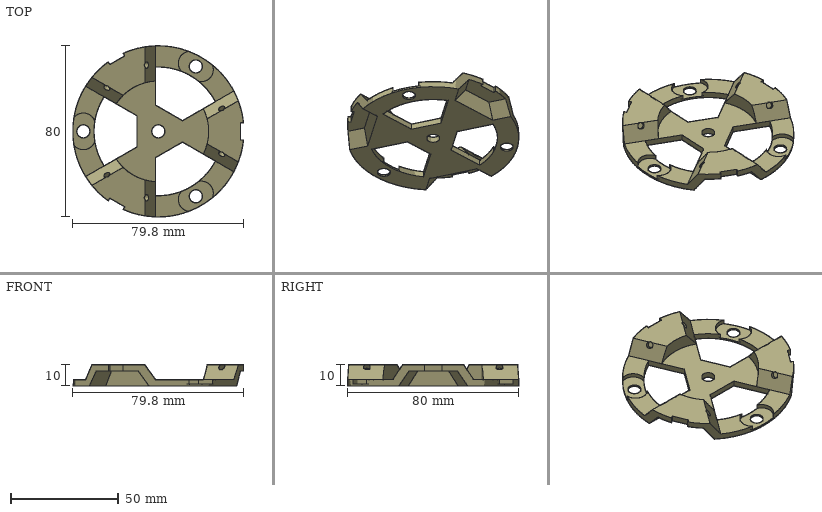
import cadquery as cq
import math

outer_radius = 40.0
total_height = 10.0
plate_height = 3.0
bore_radius = 6.0 / 2
sector_angles = (0, 120, 240)
window_angles = (60, 180, 300)
half_angle = 30
reach = 48.0

window_radius = 30.0
window_flat = 10.0
window_inset = 1.3

block_radius = 23.5
block_top_inset = 6.3
side_slope = (block_top_inset - window_inset) / (total_height - plate_height)

recess_end_bottom = 28.85
recess_end_top = 31.25
recess_height = total_height - plate_height
recess_inset = 4.3

notch_width = 8.0
notch_floor = 38.4

side_hole_radius = 1.5
side_hole_depth = 3.0
side_hole_along = 30.9
side_hole_inset = 5.5

pad_floor = 0.95
pad_hole_radius = bore_radius
pad_width = 11.2
pad_length = 17.1
pad_centre = (outer_radius + window_radius) / 2


def turned(shape, angle):
    return shape.rotate((0, 0, 0), (0, 0, 1), angle)


def wedge_points(inset):
    """Triangle around +X whose sides lie inset from radial lines at the half angle."""
    slant = math.radians(half_angle)
    apex = inset / math.sin(slant)
    half_width = (reach - apex) * math.tan(slant)
    return [(apex, 0), (reach, -half_width), (reach, half_width)]


def blunt_wedge_points(inset, end):
    """Wedge outline with its point cut off square at a distance from the disc centre."""
    apex, lower, upper = wedge_points(inset)
    end_half_width = (end - apex[0]) * math.tan(math.radians(half_angle))
    return [(end, end_half_width), (end, -end_half_width), lower, upper]


def loft_outlines(bottom_points, top_points, base, top):
    return (
        cq.Workplane("XY").workplane(offset=base)
        .polyline(bottom_points).close()
        .workplane(offset=top - base)
        .polyline(top_points).close()
        .loft(ruled=True)
    )


def ring(inner_radius, outer, height):
    return cq.Workplane("XY").circle(outer).circle(inner_radius).extrude(height)


def window():
    """Opening between two sectors, centred on +X."""
    wedge = cq.Workplane("XY").polyline(wedge_points(-window_inset)).close().extrude(plate_height)
    limit = cq.Workplane("XY").circle(window_radius).extrude(plate_height)
    beyond_flat = cq.Workplane("XY").box(reach, 2 * reach, plate_height, centered=(False, True, False))
    return wedge.intersect(limit).intersect(beyond_flat.translate((window_flat, 0, 0)))


def sector_block():
    wedge = loft_outlines(
        wedge_points(window_inset), wedge_points(block_top_inset), plate_height, total_height
    )
    return wedge.intersect(ring(block_radius, 2 * reach, total_height))


def recess():
    """Hollow open at the bottom and rim, with leaning sides and end wall."""
    top_inset = recess_inset + side_slope * recess_height
    return loft_outlines(
        blunt_wedge_points(recess_inset, recess_end_bottom),
        blunt_wedge_points(top_inset, recess_end_top),
        0,
        recess_height,
    )


def notch():
    slot = cq.Workplane("XY").box(reach, notch_width, total_height, centered=(False, True, False))
    return slot.translate((notch_floor, 0, 0))


def side_hole(side):
    """Hole square to one sloping side; side is +1 or -1."""
    slant = math.radians(half_angle)
    along = (math.cos(slant), side * math.sin(slant))
    outward = (-math.sin(slant), side * math.cos(slant))
    x = side_hole_along * along[0] - side_hole_inset * outward[0]
    y = side_hole_along * along[1] - side_hole_inset * outward[1]
    z = plate_height + (side_hole_inset - window_inset) / side_slope
    face_normal = cq.Vector(outward[0], outward[1], side_slope).normalized()
    start = cq.Vector(x, y, z) - face_normal * side_hole_depth
    drill = cq.Solid.makeCylinder(side_hole_radius, 2 * side_hole_depth, start, face_normal)
    return cq.Workplane(drill)


def pad_cut():
    """Slot-shaped pocket across the ring with a through hole in its floor."""
    pocket = (
        cq.Workplane("XY").workplane(offset=pad_floor).center(pad_centre, 0)
        .slot2D(pad_length, pad_width, 90).extrude(plate_height - pad_floor)
    )
    hole = cq.Workplane("XY").center(pad_centre, 0).circle(pad_hole_radius).extrude(plate_height)
    return pocket.union(hole)


result = cq.Workplane("XY").circle(2 * reach).circle(bore_radius).extrude(plate_height)
for angle in sector_angles:
    result = result.union(turned(sector_block(), angle))
result = result.intersect(cq.Workplane("XY").circle(outer_radius).extrude(total_height))

for angle in window_angles:
    result = result.cut(turned(window(), angle))
    result = result.cut(turned(pad_cut(), angle))

for angle in sector_angles:
    result = result.cut(turned(recess(), angle))
    result = result.cut(turned(notch(), angle))
    for side in (1, -1):
        result = result.cut(turned(side_hole(side), angle))